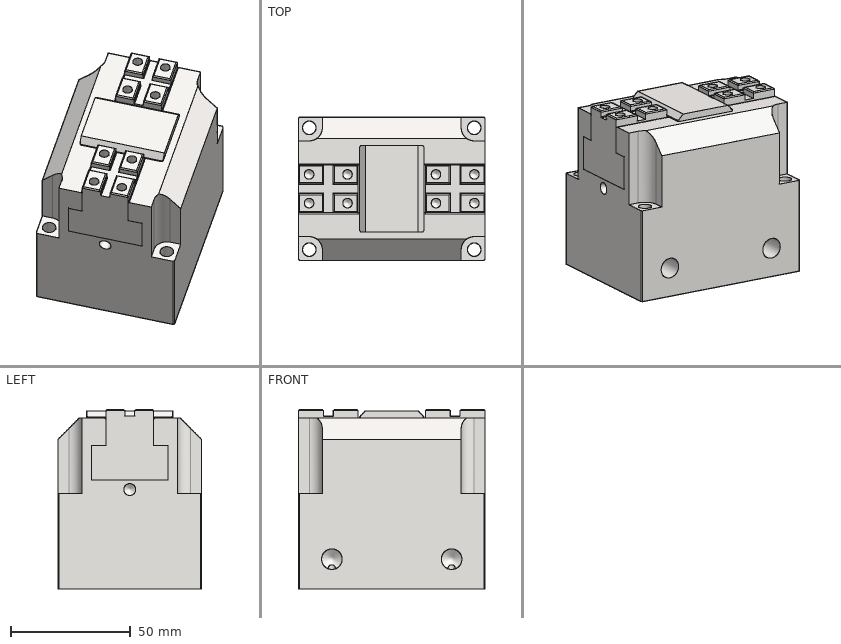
import cadquery as cq
import math

LENGTH = 78.0
WIDTH = 60.0
BODY_HEIGHT = 71.5
TOP_BEVEL = 9.0
EDGE_CHAMFER = 0.5

RELIEF_SIDE = 10.0
SHELF_HEIGHT = 40.0
MOUNT_HOLE_DIAMETER = 5.5
MOUNT_HOLE_INSET = 4.5
RELIEF_RADIUS = RELIEF_SIDE - MOUNT_HOLE_INSET

PORT_DIAMETER = 8.6
PORT_DEPTH = 14.05
PORT_OFFSET = 25.0
PORT_HEIGHT = 12.5
PASSAGE_DIAMETER = 3.3
PASSAGE_INSET = 13.6

END_HOLE_DIAMETER = 5.0
END_HOLE_DEPTH = 10.0
END_HOLE_HEIGHT = 41.6

DRILL_POINT_ANGLE = 118.0

NECK_WIDTH = 20.0
WING_WIDTH = 32.0
SLOT_FLOOR = 45.6
SHOULDER_HEIGHT = 60.0
SLOT_CHAMFER = 0.5
BLOCK_LENGTH = 24.95
BLOCK_TOP = 75.0

LONG_GROOVE_WIDTH = 4.1
CROSS_GROOVE_WIDTH = 4.0
GROOVE_DEPTH = 2.8
GROOVE_CHAMFER = 0.3
PAD_CHAMFER = 0.5
PAD_HOLE_DIAMETER = 4.0
PAD_HOLE_DEPTH = 10.0
PAD_HOLE_OFFSET_X = 8.0
PAD_HOLE_OFFSET_Y = 6.0

COVER_LENGTH = 27.0
COVER_WIDTH = 36.0
COVER_THICKNESS = 3.0
COVER_BEVEL = 2.5


def drill(start, direction, diameter, depth):
    """Blind drilled hole: a cylinder of the given depth ending in a conical point."""
    radius = diameter / 2
    point = radius / math.tan(math.radians(DRILL_POINT_ANGLE / 2))
    profile = [(0, 0), (radius, 0), (radius, depth), (0, depth + point)]
    sketch = cq.Workplane(cq.Plane(origin=start, normal=direction)).transformed(rotate=(90, 0, 0))
    return sketch.polyline(profile).close().revolve(360, (0, 0, 0), (0, 1, 0))


def slot_outline(top, flare=0):
    """Points of the T cross-section in Y and Z; the flare widens its mouth at the given top."""
    half_neck = NECK_WIDTH / 2
    half_wing = WING_WIDTH / 2
    right_side = [
        (half_wing, SLOT_FLOOR),
        (half_wing, SHOULDER_HEIGHT),
        (half_neck, SHOULDER_HEIGHT),
        (half_neck, top - flare),
    ]
    if flare > 0:
        right_side.append((half_neck + flare, top))
    left_side = [(-y, z) for y, z in reversed(right_side)]
    return right_side + left_side


def bar_along_x(outline, length):
    """Bar of the given Y-Z outline, centred on X = 0."""
    return cq.Workplane("YZ").polyline(outline).close().extrude(length / 2, both=True)


def make_corner_reliefs():
    """Pockets that cut the four upper corners down to the shelf."""
    reliefs = cq.Workplane("XY").workplane(offset=SHELF_HEIGHT)
    reliefs = reliefs.rect(LENGTH, WIDTH, forConstruction=True).vertices()
    reliefs = reliefs.rect(2 * RELIEF_SIDE, 2 * RELIEF_SIDE).extrude(BODY_HEIGHT - SHELF_HEIGHT)
    return reliefs.edges("|Z").fillet(RELIEF_RADIUS)


def make_housing():
    half_width = WIDTH / 2
    body = cq.Workplane("XY").box(LENGTH, WIDTH, BODY_HEIGHT, centered=(True, True, False))
    body = body.edges("|Z").chamfer(EDGE_CHAMFER)
    for side in (-1, 1):
        bevel = [
            (side * half_width, BODY_HEIGHT - TOP_BEVEL),
            (side * half_width, BODY_HEIGHT),
            (side * (half_width - TOP_BEVEL), BODY_HEIGHT),
        ]
        body = body.cut(bar_along_x(bevel, LENGTH))

    body = body.cut(make_corner_reliefs())
    mount_holes = cq.Workplane("XY").rect(
        LENGTH - 2 * MOUNT_HOLE_INSET, WIDTH - 2 * MOUNT_HOLE_INSET, forConstruction=True
    )
    body = body.cut(mount_holes.vertices().circle(MOUNT_HOLE_DIAMETER / 2).extrude(SHELF_HEIGHT))

    body = body.cut(bar_along_x(slot_outline(BODY_HEIGHT, SLOT_CHAMFER), LENGTH))

    for side in (-1, 1):
        port_x = side * PORT_OFFSET
        passage = cq.Workplane("XY").center(port_x, PASSAGE_INSET - half_width)
        body = body.cut(passage.circle(PASSAGE_DIAMETER / 2).extrude(PORT_HEIGHT))
        port_mouth = (port_x, -half_width, PORT_HEIGHT)
        body = body.cut(drill(port_mouth, (0, 1, 0), PORT_DIAMETER, PORT_DEPTH))
        end_hole_mouth = (side * LENGTH / 2, 0, END_HOLE_HEIGHT)
        body = body.cut(drill(end_hole_mouth, (-side, 0, 0), END_HOLE_DIAMETER, END_HOLE_DEPTH))
    return body


def make_terminal_block(center_x):
    """T-shaped block with four chamfered, drilled pads on top."""
    block = bar_along_x(slot_outline(BLOCK_TOP), BLOCK_LENGTH)

    half_groove = LONG_GROOVE_WIDTH / 2
    groove_floor = BLOCK_TOP - GROOVE_DEPTH
    long_groove = [
        (-half_groove, BLOCK_TOP),
        (-half_groove, groove_floor + GROOVE_CHAMFER),
        (-half_groove + GROOVE_CHAMFER, groove_floor),
        (half_groove - GROOVE_CHAMFER, groove_floor),
        (half_groove, groove_floor + GROOVE_CHAMFER),
        (half_groove, BLOCK_TOP),
    ]
    block = block.cut(bar_along_x(long_groove, BLOCK_LENGTH))
    cross_groove = cq.Workplane("XY").workplane(offset=groove_floor)
    block = block.cut(cross_groove.rect(CROSS_GROOVE_WIDTH, NECK_WIDTH).extrude(GROOVE_DEPTH))
    block = block.faces(">Z").edges().chamfer(PAD_CHAMFER)

    for side_x in (-1, 1):
        for side_y in (-1, 1):
            start = (side_x * PAD_HOLE_OFFSET_X, side_y * PAD_HOLE_OFFSET_Y, BLOCK_TOP)
            block = block.cut(drill(start, (0, 0, -1), PAD_HOLE_DIAMETER, PAD_HOLE_DEPTH))
    return block.translate((center_x, 0, 0))


def make_cover():
    """Plate with bevelled long edges, resting on the housing over the middle of the slot."""
    plate = cq.Workplane("XY").workplane(offset=BODY_HEIGHT)
    plate = plate.rect(COVER_LENGTH, COVER_WIDTH).extrude(COVER_THICKNESS)
    plate = plate.edges("|Z").chamfer(EDGE_CHAMFER)
    return plate.faces(">Z").edges("<X or >X").chamfer(COVER_BEVEL)


housing = make_housing()
block_center = (LENGTH - BLOCK_LENGTH) / 2
terminal_blocks = [make_terminal_block(side * block_center) for side in (-1, 1)]
cover = make_cover()

result = cq.Compound.makeCompound(
    [housing.val(), *[block.val() for block in terminal_blocks], cover.val()]
)